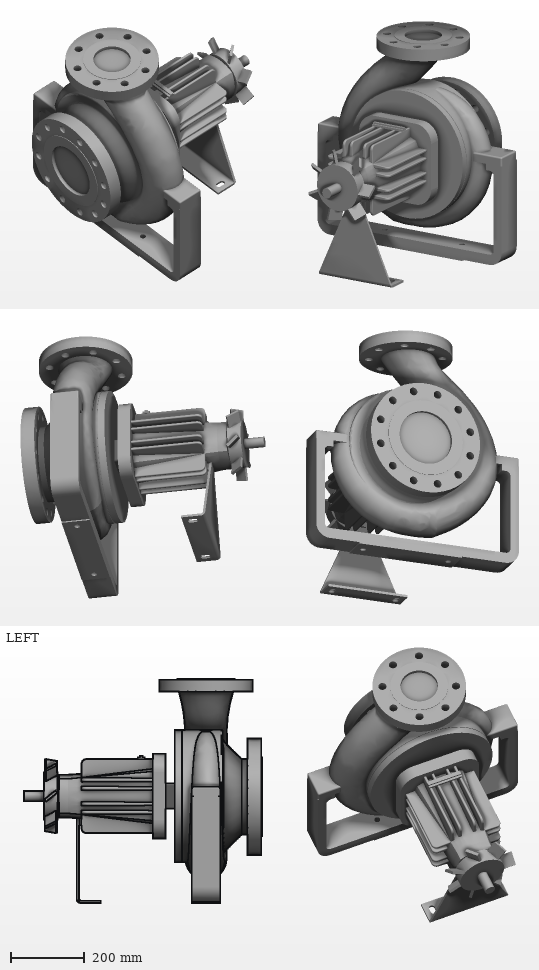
import cadquery as cq
import math


FLOOR_Z = -291.0
OVERALL_HEIGHT = 609.6
TOP_Z = FLOOR_Z + OVERALL_HEIGHT
SUCTION_FACE_Y = -152.6
OVERALL_LENGTH = 647.7
SHAFT_END_Y = SUCTION_FACE_Y + OVERALL_LENGTH
SUCTION_AXIS_Z = -2.0

FACE_HEIGHT = 1.6
BORE_DEPTH = 10.0
FLANGE_HOLE_DIA = 22.23
SUCTION_OD = 317.5
SUCTION_FACE_DIA = 215.9
SUCTION_BORE = 152.4
SUCTION_BOLT_CIRCLE = 269.7
SUCTION_BOLTS = 12
SUCTION_FLANGE_THICK = 38.0
DISCHARGE_OD = 255.0
DISCHARGE_FACE_DIA = 157.16
DISCHARGE_BORE = 101.6
DISCHARGE_BOLT_CIRCLE = 200.2
DISCHARGE_BOLTS = 8
DISCHARGE_FLANGE_THICK = 33.0

CASING_OD = 361.0
CASING_FRONT_Y = -46.0
CASING_EDGE_RADIUS = 5.0
BACK_PLATE_FRONT_Y = 66.5
BACK_PLATE_REAR_Y = 85.5
BACK_GROOVE_WIDTH = 2.0
BACK_GROOVE_DEPTH = 1.5
CONE_BASE_RADIUS = 154.0
CONE_ANGLE = 45.0
CONE_FILLET_REACH = 3.2
SUCTION_NECK_DIA = 206.0

SPIRAL_STATIONS = (
    (105, 183, 30),
    (140, 201, 35),
    (180, 215.5, 40),
    (225, 224, 46),
    (270, 228, 51),
    (290, 239, 56),
)
PIPE_RADIUS = 57.5
PIPE_STATIONS = (
    (168, -97, 62),
    (206, 0, 93),
    (180, 92, 118),
    (113, 173, 132),
)
PIPE_TOP_RADIUS = 74.0
PIPE_TOP_X = 7.0

COUPLING_FLANGE_SIZE = 231.0
COUPLING_FLANGE_CORNER = 50.0
COUPLING_FLANGE_FRONT_Y = 109.8
COUPLING_FLANGE_REAR_Y = 144.7
COUPLING_NECK_SIZE = 70.0
COUPLING_NECK_CORNER = 6.0
BODY_FRONT_CORNER = 67.0
BODY_FRONT_BULGE = 82.0
CAP_CORNER = 47.0
CAP_BULGE = 117.0 / 2
CAP_FRONT_Y = 374.6
CAP_REAR_Y = 399.8
FIN_REACH = 101.0
FIN_REAR_Y = 338.7
FIN_ROOT = 40.0
FIN_ROOT_WIDTH = 13.0
FIN_TIP_WIDTH = 7.0
FIN_CORNER_RADIUS = 14.0
FIN_EDGE_RADIUS = 2.5
FIN_OFFSETS = (-44.0, -21.0, 21.0, 44.0)
PLATE_WIDTH = 97.0
PLATE_FRONT_Y = 166.0
PLATE_DEPTH = 20.0
PLATE_HEIGHT = 5.0
PLATE_OVERLAP = 1.0
PLATE_RIB_DEPTH = 8.0
PLATE_RIB_HEIGHT = 4.0

SHAFT_DIA = 28.56
SHAFT_NECK_DIA = 35.0
HUB_DIA = 130.0
HUB_FRONT_Y = 403.5
HUB_REAR_Y = 440.8
BLADE_COUNT = 7
BLADE_TIP = 100.0
BLADE_ROOT = 58.0
BLADE_FRONT_Y = 405.0
BLADE_REAR_Y = 439.0
BLADE_SKEW = 24.0
BLADE_WIDTH = 7.0
BLADE_BEVEL = 4.0

SUPPORT_THICK = 6.7
SUPPORT_REAR_Y = 352.0
SUPPORT_FOOT_END_Y = 285.8
SUPPORT_HALF_WIDTH = 115.5
SUPPORT_TOP_Z = -50.0
SUPPORT_SLOPE = 0.43
SUPPORT_INNER_BEND_RADIUS = 5.0
SUPPORT_SLOT_X = 93.0
SUPPORT_SLOT_Y = 314.5
SUPPORT_SLOT_LENGTH = 28.0
BASE_HOLE_DIA = 16.0
SUPPORT_TAB_WIDTH = 30.0
SUPPORT_TAB_BOTTOM_Z = -80.0

FRAME_LENGTH = 590.55
FRAME_LEFT_X = -275.5
FRAME_RIGHT_X = FRAME_LEFT_X + FRAME_LENGTH
FRAME_DEPTH = 78.0
FRAME_WALL = 25.0
FRAME_TOP_Z = 25.0
FRAME_STEP_Z = -18.5
FRAME_UNDERSIDE_Z = FLOOR_Z + 3.6
FRAME_INNER_FLOOR_Z = -258.0
FRAME_OUTER_RADIUS = 39.0
FRAME_INNER_RADIUS = 13.0
FRAME_STEP_WIDTH = 50.0
ARM_HEIGHT = 25.5
ARM_EDGE_RADIUS = 4.5
LEFT_ARM_END_X = -184.7
RIGHT_ARM_END_X = 245.8
PAD_HALF_WIDTH = 149.0
FRAME_HOLE_X = 124.0


def front_plane(y):
    """Plane at the given Y with local axes X and Z, its normal pointing toward -Y."""
    return cq.Workplane("XZ", origin=(0, y, 0))


def cylinder_y(diameter, y_start, y_end):
    return front_plane(y_end).circle(diameter / 2).extrude(y_end - y_start)


def box(x_range, y_range, z_range):
    size = [high - low for low, high in (x_range, y_range, z_range)]
    return cq.Workplane("XY").box(*size, centered=False).translate((x_range[0], y_range[0], z_range[0]))


def pipe_flange(diameter, thickness, face_dia, bore, bolt_circle, bolts):
    """Flange lying on the XY plane, raised face on top, blind bore and straddling bolt holes."""
    flange = cq.Workplane("XY").circle(diameter / 2).extrude(thickness)
    flange = flange.faces(">Z").workplane().circle(face_dia / 2).extrude(FACE_HEIGHT)
    flange = flange.faces(">Z").workplane().circle(bore / 2).cutBlind(-BORE_DEPTH)
    holes = (
        cq.Workplane("XY")
        .polarArray(bolt_circle / 2, 180 / bolts, 360, bolts)
        .circle(FLANGE_HOLE_DIA / 2)
        .extrude(thickness)
    )
    return flange.cut(holes)


def suction_side():
    flange_back_y = SUCTION_FACE_Y + FACE_HEIGHT + SUCTION_FLANGE_THICK
    flange = pipe_flange(
        SUCTION_OD, SUCTION_FLANGE_THICK, SUCTION_FACE_DIA, SUCTION_BORE, SUCTION_BOLT_CIRCLE, SUCTION_BOLTS
    )
    flange = flange.rotate((0, 0, 0), (1, 0, 0), 90).translate((0, flange_back_y, 0))
    neck_radius = SUCTION_NECK_DIA / 2
    cone_end_y = CASING_FRONT_Y - (CONE_BASE_RADIUS - neck_radius) * math.tan(math.radians(CONE_ANGLE))
    fillet_radius = CONE_FILLET_REACH / math.tan(math.radians(CONE_ANGLE / 2))
    fillet_x = CONE_BASE_RADIUS + CONE_FILLET_REACH
    fillet_y = CASING_FRONT_Y - fillet_radius
    arc_angles = (math.radians(90 + CONE_ANGLE / 2), math.radians(90 + CONE_ANGLE))
    arc_points = [
        (fillet_x + fillet_radius * math.cos(angle), fillet_y + fillet_radius * math.sin(angle))
        for angle in arc_angles
    ]
    cone = (
        cq.Workplane("XY")
        .moveTo(0, CASING_FRONT_Y)
        .lineTo(fillet_x, CASING_FRONT_Y)
        .threePointArc(*arc_points)
        .lineTo(neck_radius, cone_end_y)
        .lineTo(neck_radius, flange_back_y)
        .lineTo(0, flange_back_y)
        .close()
        .revolve(360, (0, 0, 0), (0, 1, 0))
    )
    return flange.union(cone).translate((0, 0, SUCTION_AXIS_Z))


def casing():
    drum = cylinder_y(CASING_OD, CASING_FRONT_Y, BACK_PLATE_REAR_Y)
    drum = drum.faces("<Y").edges().fillet(CASING_EDGE_RADIUS)
    groove_ring = cylinder_y(CASING_OD, BACK_PLATE_FRONT_Y - BACK_GROOVE_WIDTH, BACK_PLATE_FRONT_Y)
    groove_core = cylinder_y(
        CASING_OD - 2 * BACK_GROOVE_DEPTH, BACK_PLATE_FRONT_Y - BACK_GROOVE_WIDTH, BACK_PLATE_FRONT_Y
    )
    return drum.cut(groove_ring.cut(groove_core))


def tube_section(x, z, heading, radius):
    """Circle in the tube, normal to the flow; the heading is in degrees from +X toward +Z."""
    angle = math.radians(heading)
    normal = cq.Vector(math.cos(angle), 0, math.sin(angle))
    plane = cq.Plane(origin=(x, 0, z), xDir=(0, 1, 0), normal=normal)
    return cq.Workplane(plane).circle(radius).wires().val()


def spiral_section(angle, outer_radius, tube_radius):
    centre_radius = outer_radius - tube_radius
    x = centre_radius * math.cos(math.radians(angle))
    z = centre_radius * math.sin(math.radians(angle))
    return tube_section(x, z, angle + 90, tube_radius)


def volute():
    spiral_wires = [spiral_section(*station) for station in SPIRAL_STATIONS]
    spiral = cq.Workplane(cq.Solid.makeLoft(spiral_wires))
    pipe_wires = [tube_section(*station, PIPE_RADIUS) for station in PIPE_STATIONS]
    pipe_top_z = TOP_Z - FACE_HEIGHT - DISCHARGE_FLANGE_THICK
    pipe_end = tube_section(PIPE_TOP_X, pipe_top_z, 90, PIPE_TOP_RADIUS)
    outlet = cq.Workplane(cq.Solid.makeLoft([spiral_wires[-1], *pipe_wires, pipe_end]))
    return spiral.union(outlet)


def discharge_flange():
    flange = pipe_flange(
        DISCHARGE_OD,
        DISCHARGE_FLANGE_THICK,
        DISCHARGE_FACE_DIA,
        DISCHARGE_BORE,
        DISCHARGE_BOLT_CIRCLE,
        DISCHARGE_BOLTS,
    )
    return flange.translate((0, 0, TOP_Z - FACE_HEIGHT - DISCHARGE_FLANGE_THICK))


def bulged_square(workplane, corner, bulge):
    """Square with corners at (+-corner, +-corner) and sides arched out to the bulge distance."""
    return (
        workplane.moveTo(corner, -corner)
        .threePointArc((bulge, 0), (corner, corner))
        .threePointArc((0, bulge), (-corner, corner))
        .threePointArc((-bulge, 0), (-corner, -corner))
        .threePointArc((0, -bulge), (corner, -corner))
        .close()
    )


def motor_fin():
    """Upright fin on the +Z side, tapering toward its tip, with a rounded rear upper corner."""
    length = FIN_REAR_Y - COUPLING_FLANGE_REAR_Y
    section = [
        (-FIN_ROOT_WIDTH / 2, FIN_ROOT),
        (-FIN_TIP_WIDTH / 2, FIN_REACH),
        (FIN_TIP_WIDTH / 2, FIN_REACH),
        (FIN_ROOT_WIDTH / 2, FIN_ROOT),
    ]
    fin = front_plane(FIN_REAR_Y).polyline(section).close().extrude(length)
    rear_corner = cq.selectors.NearestToPointSelector((0, FIN_REAR_Y, FIN_REACH))
    fin = fin.edges(rear_corner).fillet(FIN_CORNER_RADIUS)
    return fin.faces(">Z").edges("|Y").fillet(FIN_EDGE_RADIUS)


def name_plate():
    rear_y = PLATE_FRONT_Y + PLATE_DEPTH
    rib_front_y = PLATE_FRONT_Y + (PLATE_DEPTH - PLATE_RIB_DEPTH) / 2
    half = PLATE_WIDTH / 2
    plate_top = FIN_REACH + PLATE_HEIGHT
    plate = box((-half, half), (PLATE_FRONT_Y, rear_y), (FIN_REACH - PLATE_OVERLAP, plate_top))
    rib_y = (rib_front_y, rib_front_y + PLATE_RIB_DEPTH)
    rib = box((-half, half), rib_y, (plate_top, plate_top + PLATE_RIB_HEIGHT))
    return plate.union(rib)


def motor():
    neck_length = COUPLING_FLANGE_FRONT_Y - BACK_PLATE_REAR_Y
    neck = (
        front_plane(COUPLING_FLANGE_FRONT_Y)
        .rect(COUPLING_NECK_SIZE, COUPLING_NECK_SIZE)
        .extrude(neck_length)
        .edges("|Y")
        .fillet(COUPLING_NECK_CORNER)
    )
    flange = (
        front_plane(COUPLING_FLANGE_REAR_Y)
        .rect(COUPLING_FLANGE_SIZE, COUPLING_FLANGE_SIZE)
        .extrude(COUPLING_FLANGE_REAR_Y - COUPLING_FLANGE_FRONT_Y)
        .edges("|Y")
        .fillet(COUPLING_FLANGE_CORNER)
    )
    cap = bulged_square(front_plane(CAP_REAR_Y), CAP_CORNER, CAP_BULGE).extrude(CAP_REAR_Y - CAP_FRONT_Y)
    front_wire = bulged_square(front_plane(COUPLING_FLANGE_REAR_Y), BODY_FRONT_CORNER, BODY_FRONT_BULGE).val()
    rear_wire = bulged_square(front_plane(CAP_FRONT_Y), CAP_CORNER, CAP_BULGE).val()
    body = cq.Workplane(cq.Solid.makeLoft([front_wire, rear_wire], True))
    assembly = neck.union(flange).union(body).union(cap)
    fin = motor_fin()
    for side in range(4):
        for offset in FIN_OFFSETS:
            placed = fin.translate((offset, 0, 0)).rotate((0, 0, 0), (0, 1, 0), 90 * side)
            assembly = assembly.union(placed)
    return assembly.union(name_plate())


def fan_blade():
    """Skewed blade standing up along +Z."""
    half_skew = BLADE_SKEW / 2
    half_width = BLADE_WIDTH / 2
    outline = [
        (-half_skew - half_width, BLADE_REAR_Y - BLADE_BEVEL),
        (-half_skew + half_width, BLADE_REAR_Y),
        (half_skew + half_width, BLADE_FRONT_Y + BLADE_BEVEL),
        (half_skew - half_width, BLADE_FRONT_Y),
    ]
    blade = cq.Workplane("XY", origin=(0, 0, BLADE_ROOT)).polyline(outline).close()
    return blade.extrude(BLADE_TIP - BLADE_ROOT)


def shaft_and_fan():
    shaft = cylinder_y(SHAFT_DIA, HUB_REAR_Y, SHAFT_END_Y)
    shaft = shaft.union(cylinder_y(SHAFT_NECK_DIA, CAP_REAR_Y, HUB_FRONT_Y))
    fan = cylinder_y(HUB_DIA, HUB_FRONT_Y, HUB_REAR_Y)
    blade = fan_blade()
    for i in range(BLADE_COUNT):
        fan = fan.union(blade.rotate((0, 0, 0), (0, 1, 0), -90 + 360 / BLADE_COUNT * i))
    return shaft.union(fan)


def rear_support():
    top_half_width = SUPPORT_HALF_WIDTH - SUPPORT_SLOPE * (SUPPORT_TOP_Z - FLOOR_Z)
    profile = (
        cq.Workplane("YZ", origin=(-SUPPORT_HALF_WIDTH, 0, 0))
        .moveTo(SUPPORT_FOOT_END_Y, FLOOR_Z)
        .lineTo(SUPPORT_REAR_Y, FLOOR_Z)
        .lineTo(SUPPORT_REAR_Y, SUPPORT_TOP_Z)
        .lineTo(SUPPORT_REAR_Y - SUPPORT_THICK, SUPPORT_TOP_Z)
        .lineTo(SUPPORT_REAR_Y - SUPPORT_THICK, FLOOR_Z + SUPPORT_THICK)
        .lineTo(SUPPORT_FOOT_END_Y, FLOOR_Z + SUPPORT_THICK)
        .close()
        .extrude(2 * SUPPORT_HALF_WIDTH)
    )
    outer_bend = cq.selectors.NearestToPointSelector((0, SUPPORT_REAR_Y, FLOOR_Z))
    profile = profile.edges(outer_bend).fillet(SUPPORT_INNER_BEND_RADIUS + SUPPORT_THICK)
    inner_bend = cq.selectors.NearestToPointSelector(
        (0, SUPPORT_REAR_Y - SUPPORT_THICK, FLOOR_Z + SUPPORT_THICK)
    )
    profile = profile.edges(inner_bend).fillet(SUPPORT_INNER_BEND_RADIUS)
    foot_top = FLOOR_Z + SUPPORT_THICK
    outline = [
        (-SUPPORT_HALF_WIDTH, FLOOR_Z),
        (SUPPORT_HALF_WIDTH, FLOOR_Z),
        (SUPPORT_HALF_WIDTH, foot_top),
        (top_half_width, SUPPORT_TOP_Z),
        (-top_half_width, SUPPORT_TOP_Z),
        (-SUPPORT_HALF_WIDTH, foot_top),
    ]
    trapezoid = front_plane(SUPPORT_REAR_Y).polyline(outline).close()
    support = profile.intersect(trapezoid.extrude(SUPPORT_REAR_Y - SUPPORT_FOOT_END_Y))
    slots = (
        cq.Workplane("XY", origin=(0, SUPPORT_SLOT_Y, FLOOR_Z))
        .pushPoints([(-SUPPORT_SLOT_X, 0), (SUPPORT_SLOT_X, 0)])
        .slot2D(SUPPORT_SLOT_LENGTH, BASE_HOLE_DIA, 90)
        .extrude(SUPPORT_THICK)
    )
    tab = box(
        (-SUPPORT_TAB_WIDTH / 2, SUPPORT_TAB_WIDTH / 2),
        (FIN_REAR_Y, SUPPORT_REAR_Y - SUPPORT_THICK),
        (SUPPORT_TAB_BOTTOM_Z, SUPPORT_TOP_Z),
    )
    return support.cut(slots).union(tab)


def frame_arm(x_outer, x_inner):
    """Top arm of the frame, rounded along its top and outer edges."""
    half_depth = FRAME_DEPTH / 2
    arm = box(sorted((x_outer, x_inner)), (-half_depth, half_depth), (FRAME_TOP_Z - ARM_HEIGHT, FRAME_TOP_Z))
    outer_side = "<X" if x_outer < x_inner else ">X"
    top_edges = arm.faces(">Z").edges("|X")
    rounded = top_edges.add(arm.faces(outer_side).edges("|Z")).add(arm.faces(outer_side).edges(">Z"))
    return rounded.fillet(ARM_EDGE_RADIUS)


def front_frame():
    half_depth = FRAME_DEPTH / 2
    y_range = (-half_depth, half_depth)
    arm_bottom = FRAME_TOP_Z - ARM_HEIGHT
    frame = box((FRAME_LEFT_X, FRAME_RIGHT_X), y_range, (FRAME_UNDERSIDE_Z, arm_bottom))
    frame = frame.faces("<Z").edges("|Y").fillet(FRAME_OUTER_RADIUS)
    window_x = (FRAME_LEFT_X + FRAME_WALL, FRAME_RIGHT_X - FRAME_WALL)
    window = box(window_x, y_range, (FRAME_INNER_FLOOR_Z, FRAME_STEP_Z)).edges("|Y").fillet(FRAME_INNER_RADIUS)
    opening_x = (FRAME_LEFT_X + FRAME_STEP_WIDTH, FRAME_RIGHT_X - FRAME_STEP_WIDTH)
    opening = box(opening_x, y_range, (FRAME_STEP_Z, arm_bottom))
    frame = frame.cut(window).cut(opening)
    frame = frame.union(frame_arm(FRAME_LEFT_X, LEFT_ARM_END_X))
    frame = frame.union(frame_arm(FRAME_RIGHT_X, RIGHT_ARM_END_X))
    pad = box((-PAD_HALF_WIDTH, PAD_HALF_WIDTH), y_range, (FLOOR_Z, FRAME_UNDERSIDE_Z))
    holes = (
        cq.Workplane("XY", origin=(0, 0, FLOOR_Z))
        .pushPoints([(-FRAME_HOLE_X, 0), (FRAME_HOLE_X, 0)])
        .circle(BASE_HOLE_DIA / 2)
        .extrude(FRAME_INNER_FLOOR_Z - FLOOR_Z)
    )
    return frame.union(pad).cut(holes)


result = casing()
for section in (
    volute(),
    suction_side(),
    discharge_flange(),
    front_frame(),
    motor(),
    shaft_and_fan(),
    rear_support(),
):
    result = result.union(section)